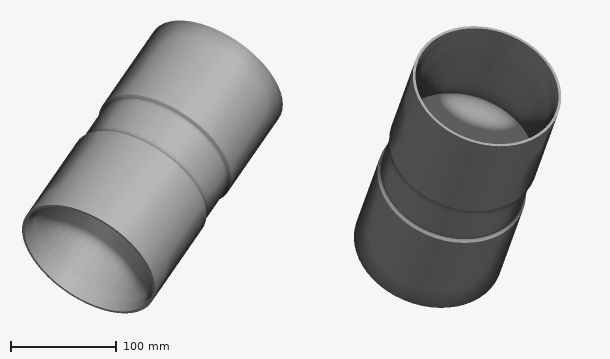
import cadquery as cq

length = 250.0
outer_diameter = 145.0
neck_diameter = 140.0
bore_diameter = 139.8
socket_length = 100.5

outer_radius = outer_diameter / 2
neck_radius = neck_diameter / 2
bevel = outer_radius - neck_radius


def make_body():
    """Revolve two sockets joined by a narrower neck about the Y axis."""
    half_length = length / 2
    shoulder = half_length - socket_length
    neck_end = shoulder - bevel
    profile = [
        (0, -half_length),
        (outer_radius, -half_length),
        (outer_radius, -shoulder),
        (neck_radius, -neck_end),
        (neck_radius, neck_end),
        (outer_radius, shoulder),
        (outer_radius, half_length),
        (0, half_length),
    ]
    return cq.Workplane("XY").polyline(profile).close().revolve(360, (0, 0, 0), (0, 1, 0))


def cut_socket_bore(body, face):
    """Cut a blind bore into one end face."""
    return body.faces(face).workplane().circle(bore_diameter / 2).cutBlind(-socket_length)


result = make_body()
for end_face in ("<Y", ">Y"):
    result = cut_socket_bore(result, end_face)